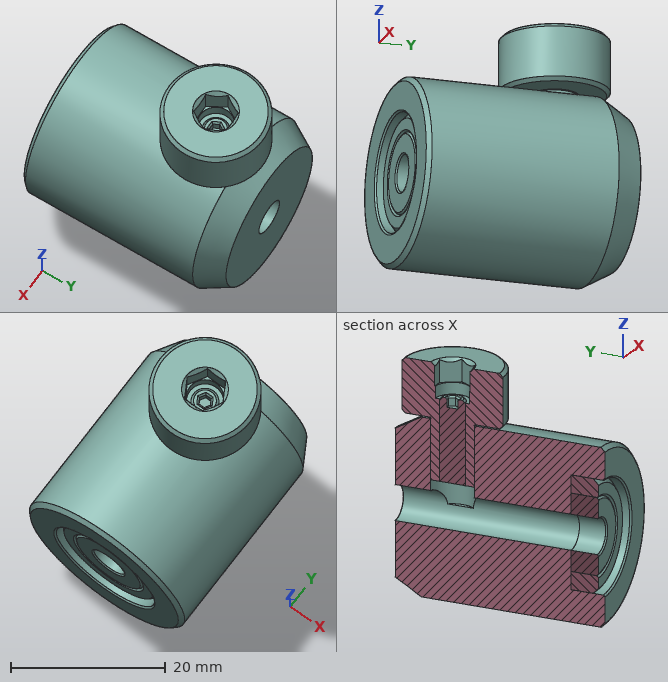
import cadquery as cq
import math

housing_diameter = 25.0
housing_length = 30.0
housing_radius = housing_diameter / 2
front_chamfer = 0.6
rear_cone_length = 3.75
rear_cone_angle = 30
bore_radius = 2.45

recess_radius = 7.92
recess_edge_chamfer = 0.23
insert_setback = 0.9
insert_thickness = 3.95
recess_depth = insert_setback + insert_thickness

ring_outer_chamfer = 0.75
disc_radius = 5.4
groove_chamfer = 0.25
disc_hole_chamfer = 0.2

overall_height = 32.87
screw_to_rear_face = 8.2
screw_y = housing_length - screw_to_rear_face
knob_top = overall_height - housing_radius
knob_gap = 0.1
knob_bottom = housing_radius + knob_gap
knob_height = knob_top - knob_bottom
knob_diameter = 14.5
knob_radius = knob_diameter / 2
knob_chamfer = 0.5
neck_radius = 3.1
neck_collar_radius = neck_radius + knob_gap
neck_bottom = 3.95
neck_length = knob_bottom - neck_bottom

hex_width = 5.0
hex_depth = 3.3
hex_entry_radius = 3.02
drill_diameter = 4.83
drill_radius = drill_diameter / 2
drill_depth = 4.93

set_screw_radius = 1.8
set_screw_chamfer = 0.33
set_screw_hex_width = 1.5
set_screw_hex_entry_width = 2.0
set_screw_hex_depth = 1.3
lead_in_angle = 45
lead_in_depth = (set_screw_hex_entry_width - set_screw_hex_width) / 2
set_screw_seat = knob_top - drill_depth
set_screw_top = set_screw_seat + set_screw_chamfer
set_screw_length = set_screw_top - neck_bottom


def cylinder_along_y(radius, front, length):
    """Cylinder on the housing axis, running toward +Y from the plane Y = front."""
    return cq.Workplane("XZ", origin=(0, front, 0)).circle(radius).extrude(-length)


def cylinder_along_z(radius, bottom, height):
    """Cylinder on the thumb screw axis, standing on the plane Z = bottom."""
    return cq.Workplane("XY", origin=(0, screw_y, bottom)).circle(radius).extrude(height)


def hex_prism_down(width_across_flats, top, depth, taper=0):
    """Hexagon with corners on +X and -X, extruded down the thumb screw axis from Z = top."""
    corner_diameter = width_across_flats / math.cos(math.pi / 6)
    top_plane = cq.Workplane("XY", origin=(0, screw_y, top))
    return top_plane.polygon(6, corner_diameter).extrude(-depth, taper=taper)


def downward_cone(top_radius, top):
    """45-degree cone on the thumb screw axis, its point facing down."""
    return cq.Workplane(
        cq.Solid.makeCone(top_radius, 0, top_radius, cq.Vector(0, screw_y, top), cq.Vector(0, 0, -1))
    )


def make_housing():
    cone_drop = rear_cone_length * math.tan(math.radians(rear_cone_angle))
    body = cylinder_along_y(housing_radius, 0, housing_length)
    body = body.faces("<Y").chamfer(front_chamfer)
    body = body.faces(">Y").edges().chamfer(rear_cone_length, cone_drop)
    body = body.cut(cylinder_along_y(bore_radius, 0, housing_length))
    body = body.cut(cylinder_along_y(recess_radius, 0, recess_depth))
    recess_edge = body.faces("<Y").edges(cq.selectors.RadiusNthSelector(0))
    body = recess_edge.chamfer(recess_edge_chamfer)
    screw_hole = cylinder_along_z(neck_radius, 0, housing_radius)
    return body.cut(screw_hole)


def make_ring():
    ring = cylinder_along_y(recess_radius, insert_setback, insert_thickness)
    ring = ring.faces("<Y").chamfer(ring_outer_chamfer)
    ring = ring.cut(cylinder_along_y(disc_radius, insert_setback, insert_thickness))
    inner_edge = ring.faces("<Y").edges(cq.selectors.RadiusNthSelector(0))
    return inner_edge.chamfer(groove_chamfer)


def make_center_disc():
    disc = cylinder_along_y(disc_radius, insert_setback, insert_thickness)
    disc = disc.faces("<Y").chamfer(groove_chamfer)
    disc = disc.cut(cylinder_along_y(bore_radius, insert_setback, insert_thickness))
    hole_edge = disc.faces("<Y").edges(cq.selectors.RadiusNthSelector(0))
    return hole_edge.chamfer(disc_hole_chamfer)


def make_thumb_screw():
    knob = cylinder_along_z(knob_radius, knob_bottom, knob_height).edges().chamfer(knob_chamfer)
    neck = cylinder_along_z(neck_radius, neck_bottom, neck_length)
    collar = downward_cone(neck_collar_radius, knob_bottom)
    hex_socket = hex_prism_down(hex_width, knob_top, hex_depth)
    socket_entry = downward_cone(hex_entry_radius, knob_top)
    drilled_hole = cylinder_along_z(drill_radius, set_screw_seat, drill_depth)
    set_screw_hole = cylinder_along_z(set_screw_radius, neck_bottom, set_screw_seat - neck_bottom)
    screw = knob.union(neck).union(collar)
    return screw.cut(hex_socket).cut(socket_entry).cut(drilled_hole).cut(set_screw_hole)


def make_set_screw():
    screw = cylinder_along_z(set_screw_radius, neck_bottom, set_screw_length)
    screw = screw.faces(">Z").chamfer(set_screw_chamfer)
    hex_socket = hex_prism_down(set_screw_hex_width, set_screw_top, set_screw_hex_depth)
    lead_in = hex_prism_down(
        set_screw_hex_entry_width, set_screw_top, lead_in_depth, taper=lead_in_angle
    )
    return screw.cut(hex_socket).cut(lead_in)


housing = make_housing()
ring = make_ring()
center_disc = make_center_disc()
thumb_screw = make_thumb_screw()
set_screw = make_set_screw()

result = cq.Compound.makeCompound(
    [housing.val(), ring.val(), center_disc.val(), thumb_screw.val(), set_screw.val()]
)